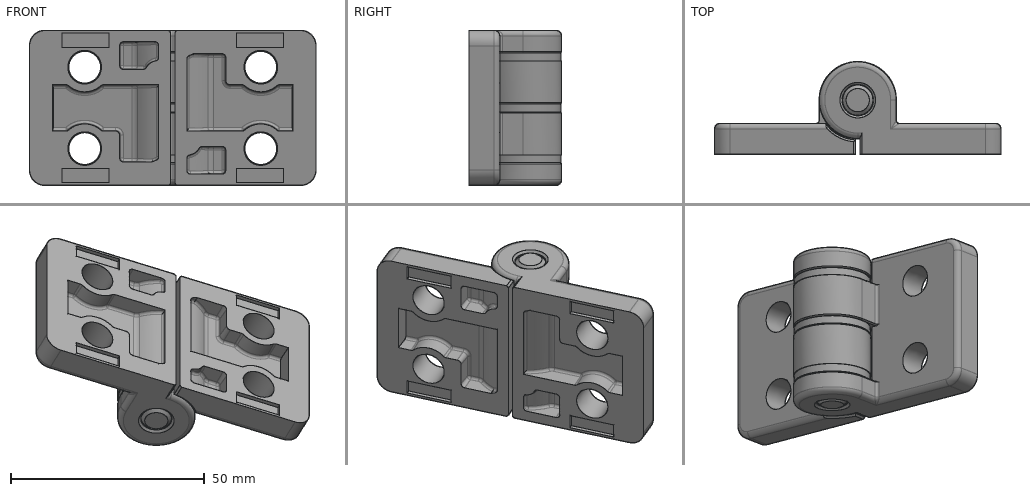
import cadquery as cq
import math

length = 74.0
height = 40.0
leaf_gap = 1.0
leaf_thickness = 8.0
half_length = length / 2
half_height = height / 2
gap_face_x = -leaf_gap / 2

corner_radius = 4.0
back_fillet = 1.5
gap_chamfer = 0.5

barrel_radius = 10.0
axis_y = 14.0
barrel_bottom_y = axis_y - barrel_radius
root_fillet = 0.75
knuckle_chamfer = 0.4
washer_thickness = 2.0
washer_diameter = 19.7
inner_knuckle_bottom = washer_thickness / 2
inner_knuckle_top = 12.1
outer_knuckle_top = -inner_knuckle_top - washer_thickness
recess_radius = 10.3

pin_diameter = 7.9
pin_chamfer = 0.95
bore_diameter = 8.0
bore_countersink = 0.6

hole_mouth_diameter = 8.65
hole_back_diameter = 8.2
hole_x = -22.7
hole_z = 10.5
hole_centres = [(hole_x, hole_z), (hole_x, -hole_z)]
label_length = 12.1
label_width = 3.7
label_depth = 1.0
label_x = -22.6
label_z = 17.5

pocket_depth = 4.6
pocket_draft = 3.0
shell_radius = 13.5
shell_blend = 2.1
floor_fillet = 0.75
pocket_corner_radius = 1.0
pocket_inner_x = -3.6
pocket_outer_x = -13.7

channel_end_x = -31.1
channel_half_width = 6.0
large_pocket_bottom = -14.0
large_pocket_bevel_x = -5.4
large_pocket_bevel_z = -13.25
boss_radius = 6.4

small_pocket_top = 17.1
small_pocket_bottom = 9.9
bite_x = -7.0
bite_z = 12.1
bite_middle = (-5.9, 11.5)

pick_margin = 0.1


def on_circle(radius, angle, x_centre, y_centre):
    """Point on a circle in the XY plane, with the angle measured from -X towards -Y."""
    return (x_centre - radius * math.cos(angle), y_centre - radius * math.sin(angle))


def axial_cylinder(diameter, z_low, z_high):
    """Cylinder about the pin axis."""
    return cq.Workplane("XY", origin=(0, axis_y, z_low)).circle(diameter / 2).extrude(z_high - z_low)


def axial_cone(end_diameter, inner_diameter, z_end, z_inner):
    """Truncated cone about the pin axis."""
    return (
        cq.Workplane("XY", origin=(0, axis_y, z_end))
        .circle(end_diameter / 2)
        .workplane(offset=z_inner - z_end)
        .circle(inner_diameter / 2)
        .loft()
    )


def leaf_plate():
    """Flat plate with rounded outer corners, rounded back edges and chamfered gap corners."""
    plate = cq.Workplane("XY", origin=(-half_length, 0, 0)).box(
        half_length + gap_face_x, leaf_thickness, height, centered=(False, False, True)
    )
    plate = plate.edges("|Y and <X").fillet(corner_radius)
    plate = plate.edges("|Y and >X").chamfer(gap_chamfer)
    outside_gap = cq.selectors.BoxSelector(
        (-length, 0, -height), (gap_face_x - gap_chamfer, length, height)
    )
    return plate.faces(">Y").edges("not(>X)").edges(outside_gap).fillet(back_fillet)


def barrel_recesses():
    """Clearance in the plate for the knuckles and washers beside this leaf's own knuckles."""
    recess_diameter = 2 * recess_radius
    upper = axial_cylinder(recess_diameter, inner_knuckle_top, half_height)
    lower = axial_cylinder(recess_diameter, outer_knuckle_top, inner_knuckle_bottom)
    mouth = axial_cone(
        recess_diameter + 2 * gap_chamfer, recess_diameter, half_height, half_height - gap_chamfer
    )
    return upper.union(mouth).union(lower)


def knuckle(z_low, z_high, root):
    """Barrel segment with a straight outer wall; a root radius above zero flares its foot."""
    foot_x = -barrel_radius - root
    outline = (
        cq.Workplane("XY", origin=(0, 0, z_low))
        .moveTo(foot_x, barrel_bottom_y)
        .lineTo(0, barrel_bottom_y)
        .threePointArc((barrel_radius, axis_y), (0, axis_y + barrel_radius))
        .threePointArc(on_circle(barrel_radius, -math.pi / 4, 0, axis_y), (-barrel_radius, axis_y))
        .lineTo(-barrel_radius, leaf_thickness + root)
    )
    if root > 0:
        flare_middle = on_circle(root, 3 * math.pi / 4, foot_x, leaf_thickness + root)
        outline = outline.threePointArc(flare_middle, (foot_x, leaf_thickness))
    return outline.close().extrude(z_high - z_low)


def inner_knuckle():
    """Middle knuckle, chamfered where it meets the middle washer."""
    body = knuckle(inner_knuckle_bottom, inner_knuckle_top, root_fillet)
    return body.faces("<Z").edges().chamfer(knuckle_chamfer)


def outer_knuckle():
    """End knuckle: chamfered towards its washer, rounded at its end and blended into the plate."""
    body = knuckle(-half_height, outer_knuckle_top, root_fillet)
    body = body.faces(">Z").edges().chamfer(knuckle_chamfer)

    barrel_end = knuckle(-half_height, 0, 0).faces("<Z").edges().fillet(back_fillet)
    root_edges = cq.selectors.BoxSelector(
        (
            -barrel_radius - pick_margin,
            leaf_thickness - back_fillet - pick_margin,
            -half_height - pick_margin,
        ),
        (
            -barrel_radius + back_fillet + pick_margin,
            leaf_thickness + pick_margin,
            pick_margin,
        ),
        boundingbox=True,
    )
    envelope = leaf_plate().union(barrel_end).edges(root_edges).fillet(root_fillet)
    return body.intersect(envelope)


def pocket_depth_limit():
    """Space that pockets may fill: a flat floor that blends into a shell around the barrel."""
    blend_y = pocket_depth - shell_blend
    reach = shell_radius + shell_blend
    blend_angle = math.asin((axis_y - blend_y) / reach)
    blend_x = -reach * math.cos(blend_angle)
    halfway_angle = (blend_angle + math.pi / 2) / 2
    return (
        cq.Workplane("XY", origin=(0, 0, -half_height))
        .moveTo(-half_length, 0)
        .lineTo(-half_length, pocket_depth)
        .lineTo(blend_x, pocket_depth)
        .threePointArc(
            on_circle(shell_blend, math.pi + halfway_angle, blend_x, blend_y),
            on_circle(shell_radius, blend_angle, 0, axis_y),
        )
        .threePointArc(
            on_circle(shell_radius, halfway_angle, 0, axis_y),
            (0, axis_y - shell_radius),
        )
        .lineTo(0, 0)
        .close()
        .extrude(height)
    )


def round_corners(prism, corners):
    """Round the edges of a pocket prism that cross the plate thickness at the (x, z) corners."""
    for x, z in corners:
        at_corner = cq.selectors.BoxSelector(
            (x - pick_margin, 0, z - pick_margin), (x + pick_margin, leaf_thickness, z + pick_margin)
        )
        prism = prism.edges("|Y").edges(at_corner).fillet(pocket_corner_radius)
    return prism


def finish_pocket(prism):
    """Give a pocket prism draft, limit its depth and round the edges of its floor."""
    mouth = prism.faces("<Y").wires().val()
    tapered = cq.Solid.extrudeLinear(mouth, [], cq.Vector(0, leaf_thickness, 0), pocket_draft)
    pocket = cq.Workplane(tapered).intersect(pocket_depth_limit())

    def is_rounded(edge):
        box = edge.BoundingBox()
        middle_x = edge.Center().x
        reaches_mouth = box.ymin < pick_margin
        runs_along_z = box.xlen < pick_margin and box.ylen < pick_margin
        beside_wall = middle_x < pocket_outer_x + floor_fillet or middle_x > pocket_inner_x - floor_fillet
        at_channel_end = middle_x < channel_end_x + floor_fillet
        across_floor = runs_along_z and not beside_wall
        return not (reaches_mouth or across_floor or (runs_along_z and at_channel_end))

    return pocket.edges().filter(is_rounded).fillet(floor_fillet)


def large_pocket():
    """Channel between the bosses of the two holes that widens beside the barrel."""
    prism = (
        cq.Workplane("XZ")
        .moveTo(channel_end_x, channel_half_width)
        .lineTo(pocket_inner_x, channel_half_width)
        .lineTo(pocket_inner_x, large_pocket_bevel_z)
        .lineTo(large_pocket_bevel_x, large_pocket_bottom)
        .lineTo(pocket_outer_x, large_pocket_bottom)
        .lineTo(pocket_outer_x, -channel_half_width)
        .lineTo(channel_end_x, -channel_half_width)
        .close()
        .extrude(-leaf_thickness)
    )
    bosses = cq.Workplane("XZ").pushPoints(hole_centres).circle(boss_radius).extrude(-leaf_thickness)
    half_chord = math.sqrt(boss_radius**2 - (hole_z - channel_half_width) ** 2)
    boss_corners = [
        (x, z)
        for x in (hole_x - half_chord, hole_x + half_chord)
        for z in (-channel_half_width, channel_half_width)
    ]
    wide_end_corners = [
        (pocket_outer_x, -channel_half_width),
        (pocket_outer_x, large_pocket_bottom),
        (pocket_inner_x, large_pocket_bevel_z),
    ]
    return finish_pocket(round_corners(prism.cut(bosses), wide_end_corners + boss_corners))


def small_pocket():
    """Pocket beside the barrel with a convex arc across one corner."""
    prism = (
        cq.Workplane("XZ")
        .moveTo(pocket_outer_x, small_pocket_bottom)
        .lineTo(pocket_outer_x, small_pocket_top)
        .lineTo(pocket_inner_x, small_pocket_top)
        .lineTo(pocket_inner_x, bite_z)
        .threePointArc(bite_middle, (bite_x, small_pocket_bottom))
        .close()
        .extrude(-leaf_thickness)
    )
    corners = [
        (pocket_outer_x, small_pocket_bottom),
        (pocket_outer_x, small_pocket_top),
        (pocket_inner_x, small_pocket_top),
        (pocket_inner_x, bite_z),
        (bite_x, small_pocket_bottom),
    ]
    return finish_pocket(round_corners(prism, corners))


def bore():
    """Pin bore with a countersink at the outer end of the leaf's barrel."""
    countersink = axial_cone(
        bore_diameter + 2 * bore_countersink,
        bore_diameter,
        -half_height,
        -half_height + bore_countersink,
    )
    return axial_cylinder(bore_diameter, -half_height, half_height).union(countersink)


def mounting_hole(x, z):
    """Hole through the plate that narrows towards the back."""
    return (
        cq.Workplane("XZ", origin=(x, 0, z))
        .circle(hole_mouth_diameter / 2)
        .workplane(offset=-leaf_thickness)
        .circle(hole_back_diameter / 2)
        .loft()
    )


def label_recesses():
    """Shallow rectangles near the two long edges of the mounting face."""
    return (
        cq.Workplane("XZ")
        .pushPoints([(label_x, label_z), (label_x, -label_z)])
        .rect(label_length, label_width)
        .extrude(-label_depth)
    )


def leaf():
    """Left hinge leaf: plate with two knuckles."""
    body = leaf_plate().cut(barrel_recesses())
    body = body.union(inner_knuckle()).union(outer_knuckle())
    body = body.cut(bore()).cut(label_recesses())
    for x, z in hole_centres:
        body = body.cut(mounting_hole(x, z))
    return body.cut(large_pocket()).cut(small_pocket())


def hinge_pin():
    """Pin as long as the barrel, with chamfered ends."""
    shaft = axial_cylinder(pin_diameter, -half_height, half_height)
    return shaft.faces("<Z or >Z").edges().chamfer(pin_chamfer)


def washer(z_middle):
    """Flat ring between two knuckles."""
    z_low = z_middle - washer_thickness / 2
    z_high = z_middle + washer_thickness / 2
    ring = axial_cylinder(washer_diameter, z_low, z_high)
    return ring.cut(axial_cylinder(bore_diameter, z_low, z_high))


left_leaf = leaf()
right_leaf = left_leaf.rotate((0, 0, 0), (0, 1, 0), 180)
pin = hinge_pin()
side_washer_z = inner_knuckle_top + washer_thickness / 2
washers = [washer(z) for z in (-side_washer_z, 0, side_washer_z)]

result = cq.Compound.makeCompound(
    [left_leaf.val(), right_leaf.val(), pin.val(), *[ring.val() for ring in washers]]
)